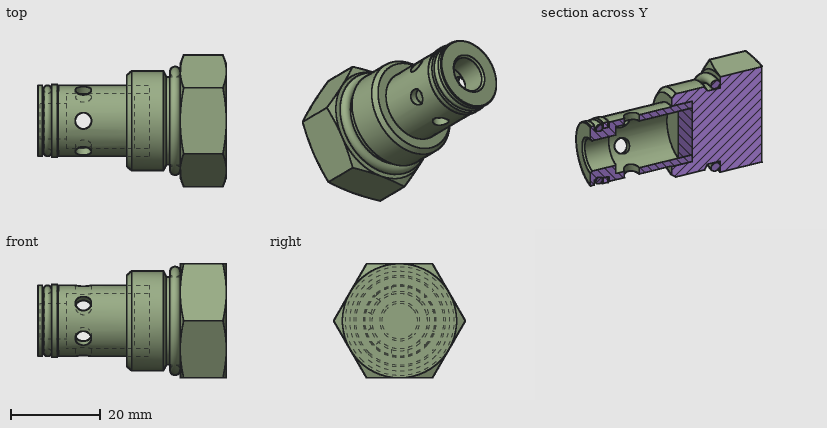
import cadquery as cq
import math

OVERALL_LENGTH = 41.9

HEX_ACROSS_FLATS = 25.4
HEX_ACROSS_CORNERS = HEX_ACROSS_FLATS / math.cos(math.pi / 6)
HEX_LENGTH = 10.23
HEX_FACE_X = OVERALL_LENGTH - HEX_LENGTH
HEX_CHAMFER_LENGTH = 0.75

SHANK_DIAMETER = 22.2
SHANK_NOSE_DIAMETER = 20.33
SHANK_START_X = 19.8
SHANK_NOSE_LENGTH = 1.1
SHANK_END_X = 27.9
NECK_DIAMETER = 19.57
NECK_START_X = 28.62

CAGE_DIAMETER = 15.85
CAGE_SOCKET_DEPTH = 5.05
CAGE_LENGTH = SHANK_START_X + CAGE_SOCKET_DEPTH
CAGE_EDGE_CHAMFER = 0.15
INLET_DIAMETER = 7.92
INLET_CHAMFER = 0.45
INLET_LENGTH = 6.3
CHAMBER_DIAMETER = 12.3

PORT_COUNT = 6
PORT_DIAMETER = 3.55
PORT_X = 10.15

GROOVE_START_X = 1.05
GROOVE_END_X = 4.55
GROOVE_FLOOR_DIAMETER = 13.3

BACKUP_DIAMETER = 16.2
BACKUP_START_X = 3.05
BACKUP_WIDTH = 1.3

CAGE_SEAL_DIAMETER = CAGE_DIAMETER
CAGE_SEAL_SECTION = 1.75
CAGE_SEAL_X = BACKUP_START_X - CAGE_SEAL_SECTION / 2
HEAD_SEAL_SECTION = 2.3
HEAD_SEAL_DIAMETER = NECK_DIAMETER + 2 * HEAD_SEAL_SECTION
HEAD_SEAL_X = HEX_FACE_X - HEAD_SEAL_SECTION / 2

POPPET_LENGTH = 3.35


def cylinder(start_x, length, diameter):
    """Solid cylinder on the X axis."""
    return cq.Workplane("YZ", origin=(start_x, 0, 0)).circle(diameter / 2).extrude(length)


def revolve_about_x(profile):
    """Solid of revolution about X from a list of (x, radius) points."""
    return cq.Workplane("XY").polyline(profile).close().revolve(360, (0, 0, 0), (1, 0, 0))


def make_o_ring(center_x, outer_diameter, section_diameter):
    center_radius = (outer_diameter - section_diameter) / 2
    return (
        cq.Workplane("XY")
        .center(center_x, center_radius)
        .circle(section_diameter / 2)
        .revolve(360, (0, -center_radius, 0), (1, -center_radius, 0))
    )


def make_hex_head():
    """Hexagon with flats facing +Z and -Z, its corners turned down to the flats at both ends."""
    hexagon = (
        cq.Workplane("YZ", origin=(HEX_FACE_X, 0, 0))
        .polygon(6, HEX_ACROSS_CORNERS)
        .extrude(HEX_LENGTH)
    )
    flat_radius = HEX_ACROSS_FLATS / 2
    corner_radius = HEX_ACROSS_CORNERS / 2
    turned_blank = revolve_about_x([
        (HEX_FACE_X, 0),
        (HEX_FACE_X, flat_radius),
        (HEX_FACE_X + HEX_CHAMFER_LENGTH, corner_radius),
        (OVERALL_LENGTH - HEX_CHAMFER_LENGTH, corner_radius),
        (OVERALL_LENGTH, flat_radius),
        (OVERALL_LENGTH, 0),
    ])
    return hexagon.intersect(turned_blank)


def make_body():
    shank = revolve_about_x([
        (SHANK_START_X, 0),
        (SHANK_START_X, SHANK_NOSE_DIAMETER / 2),
        (SHANK_START_X + SHANK_NOSE_LENGTH, SHANK_DIAMETER / 2),
        (SHANK_END_X, SHANK_DIAMETER / 2),
        (NECK_START_X, NECK_DIAMETER / 2),
        (HEX_FACE_X, NECK_DIAMETER / 2),
        (HEX_FACE_X, 0),
    ])
    cage_socket = cylinder(SHANK_START_X, CAGE_SOCKET_DEPTH, CAGE_DIAMETER)
    return make_hex_head().union(shank).cut(cage_socket)


def make_ports():
    """Radial drills, evenly spaced, the first one pointing along +Z."""
    drill = cq.Workplane("XY", origin=(PORT_X, 0, 0)).circle(PORT_DIAMETER / 2).extrude(CAGE_DIAMETER)
    ports = cq.Workplane("XY")
    for index in range(PORT_COUNT):
        ports = ports.add(drill.rotate((0, 0, 0), (1, 0, 0), index * 360 / PORT_COUNT))
    return ports.combine()


def make_cage(seal):
    """Tube with a narrow inlet, a wider chamber, radial ports and a groove that seats the seal."""
    tube = cylinder(0, CAGE_LENGTH, CAGE_DIAMETER).faces("<X").chamfer(CAGE_EDGE_CHAMFER)
    inlet_radius = INLET_DIAMETER / 2
    inlet = revolve_about_x([
        (0, 0),
        (0, inlet_radius + INLET_CHAMFER),
        (INLET_CHAMFER, inlet_radius),
        (INLET_LENGTH, inlet_radius),
        (INLET_LENGTH, 0),
    ])
    chamber = cylinder(INLET_LENGTH, CAGE_LENGTH - INLET_LENGTH, CHAMBER_DIAMETER)
    groove_width = GROOVE_END_X - GROOVE_START_X
    groove = cylinder(GROOVE_START_X, groove_width, CAGE_DIAMETER).cut(
        cylinder(GROOVE_START_X, groove_width, GROOVE_FLOOR_DIAMETER)
    )
    return tube.cut(inlet).cut(chamber).cut(groove).cut(make_ports()).cut(seal)


def make_backup_ring():
    return cylinder(BACKUP_START_X, BACKUP_WIDTH, BACKUP_DIAMETER).cut(
        cylinder(BACKUP_START_X, BACKUP_WIDTH, GROOVE_FLOOR_DIAMETER)
    )


def make_poppet():
    return cylinder(CAGE_LENGTH - POPPET_LENGTH, POPPET_LENGTH, CHAMBER_DIAMETER)


body = make_body()
cage_seal = make_o_ring(CAGE_SEAL_X, CAGE_SEAL_DIAMETER, CAGE_SEAL_SECTION)
cage = make_cage(cage_seal)
backup_ring = make_backup_ring()
head_seal = make_o_ring(HEAD_SEAL_X, HEAD_SEAL_DIAMETER, HEAD_SEAL_SECTION)
poppet = make_poppet()

result = cq.Compound.makeCompound([
    body.solids().val(),
    cage.solids().val(),
    cage_seal.solids().val(),
    backup_ring.solids().val(),
    head_seal.solids().val(),
    poppet.solids().val(),
])